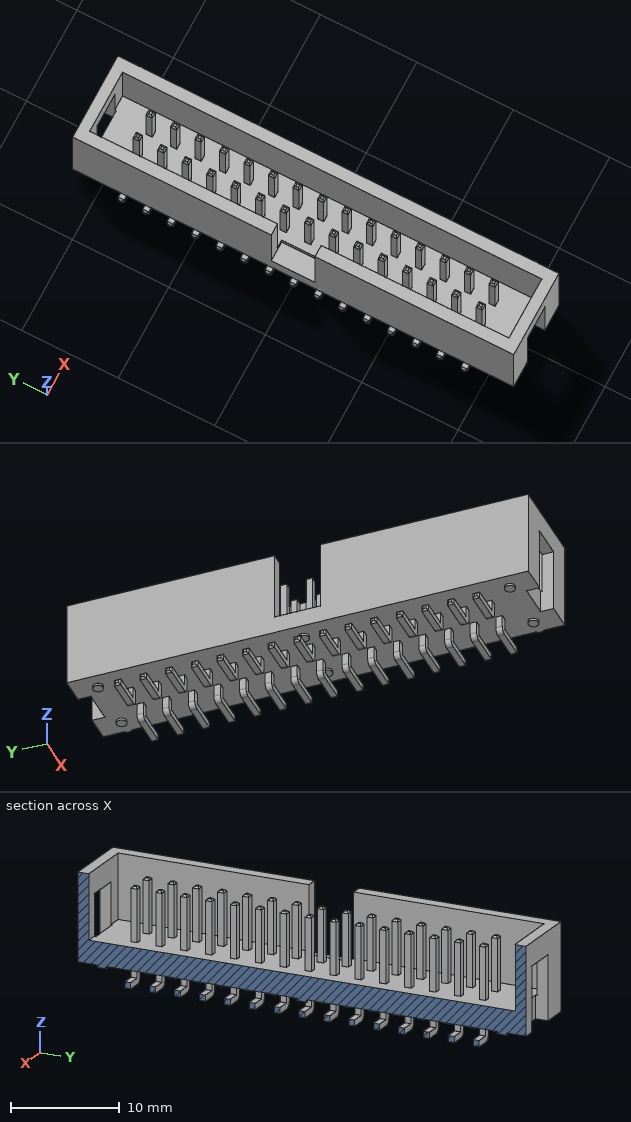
import cadquery as cq

HOUSING_WIDTH = 8.95
HOUSING_LENGTH = 45.75
HOUSING_HEIGHT = 8.85
SIDE_WALL = 1.25
END_WALL = 1.15
FLOOR_TOP = 2.35

END_SLOT_WIDTH = 3.45
END_SLOT_TOP = 6.5
FLOOR_RECESS = 0.15
END_SLOT_DEPTH = END_WALL + FLOOR_RECESS

KEY_WIDTH = 4.55
KEY_DEPTH = 2.05
KEY_BOTTOM = 1.8

RIB_DIAMETER = 1.0
RIB_PROJECTION = 0.2
RIB_HEIGHT = 8.45
STANDOFF_DIAMETER = 1.0
STANDOFF_HEIGHT = 0.25
STANDOFF_X = 2.9
END_FEATURE_Y = 20.4

PINS_PER_ROW = 15
PIN_ROW_LENGTH = 35.55
PIN_PITCH = PIN_ROW_LENGTH / (PINS_PER_ROW - 1)
PIN_ROW_X = PIN_PITCH / 2
PIN_SIZE = 0.65
PIN_TOP = 7.75
PIN_TIP_CHAMFER = 0.2
FOOT_BOTTOM = -1.8
FOOT_END_X = 4.75
BEND_RADIUS = 0.55


def block(x_min, x_max, y_center, width, z_min, z_max):
    """Box between two X and two Z limits, centred on y_center."""
    size = (x_max - x_min, width, z_max - z_min)
    return cq.Workplane("XY").box(*size, centered=(False, True, False)).translate((x_min, y_center, z_min))


def make_housing():
    """Shell with its end slots, key notch, ribs and standoffs."""
    half_width = HOUSING_WIDTH / 2
    housing = block(-half_width, half_width, 0, HOUSING_LENGTH, 0, HOUSING_HEIGHT)
    cavity_half = half_width - SIDE_WALL
    cavity_length = HOUSING_LENGTH - 2 * END_WALL
    housing = housing.cut(block(-cavity_half, cavity_half, 0, cavity_length, FLOOR_TOP, HOUSING_HEIGHT))

    for side in (-1, 1):
        slot_y = side * (HOUSING_LENGTH - END_SLOT_DEPTH) / 2
        slot_half = END_SLOT_WIDTH / 2
        housing = housing.cut(block(-slot_half, slot_half, slot_y, END_SLOT_DEPTH, 0, END_SLOT_TOP))

    key_notch = block(-half_width, KEY_DEPTH - half_width, 0, KEY_WIDTH, KEY_BOTTOM, HOUSING_HEIGHT)
    housing = housing.cut(key_notch)

    rib_radius = RIB_DIAMETER / 2
    rib_x = half_width + RIB_PROJECTION - rib_radius
    rib_places = [(rib_x, -END_FEATURE_Y), (rib_x, END_FEATURE_Y)]
    housing = housing.union(cq.Workplane("XY").pushPoints(rib_places).circle(rib_radius).extrude(RIB_HEIGHT))

    standoff_places = [(x, y) for x in (-STANDOFF_X, STANDOFF_X) for y in (-END_FEATURE_Y, 0, END_FEATURE_Y)]
    standoffs = (
        cq.Workplane("XY").pushPoints(standoff_places).circle(STANDOFF_DIAMETER / 2).extrude(-STANDOFF_HEIGHT)
    )
    return housing.union(standoffs)


def make_pin():
    """Pin of the +X row at Y = 0: an upright post bent outward into a foot."""
    inner_x = PIN_ROW_X - PIN_SIZE / 2
    post = block(inner_x, inner_x + PIN_SIZE, 0, PIN_SIZE, FOOT_BOTTOM, PIN_TOP)
    post = post.faces(">Z").chamfer(PIN_TIP_CHAMFER)
    foot = block(inner_x, FOOT_END_X, 0, PIN_SIZE, FOOT_BOTTOM, FOOT_BOTTOM + PIN_SIZE)
    foot = foot.faces(">X").chamfer(PIN_TIP_CHAMFER)
    return post.union(foot).edges("<X and <Z").fillet(BEND_RADIUS)


pin = make_pin()
mirrored_pin = pin.mirror("YZ")
result = make_housing()
for index in range(PINS_PER_ROW):
    pin_y = index * PIN_PITCH - PIN_ROW_LENGTH / 2
    result = result.union(pin.translate((0, pin_y, 0)))
    result = result.union(mirrored_pin.translate((0, pin_y, 0)))